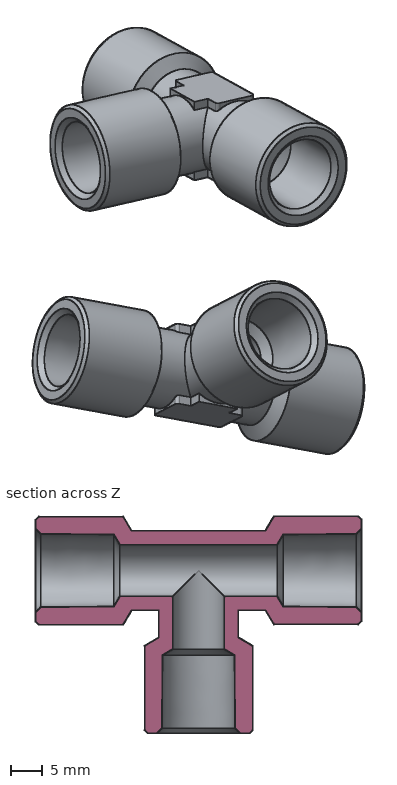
import cadquery as cq
import math

reach = 25.5
collar_radius = 17.0 / 2
neck_radius = 12.5 / 2
collar_length = 13.7
shoulder_length = 1.35
rim_chamfer = 0.5

passage_radius = 8.0 / 2
mouth_radius = 13.05 / 2
socket_mouth_radius = 11.4 / 2
socket_floor_radius = 11.2 / 2
socket_depth = 12.25
mouth_depth = mouth_radius - socket_mouth_radius
drill_tip_half_angle = 59.0
floor_cone_length = (socket_floor_radius - passage_radius) / math.tan(math.radians(drill_tip_half_angle))

pad_width = 12.2
pad_length = 7.05
pad_thickness = 13.15
pad_corner_radius = 0.5
tab_width = 7.0
tab_reach = 6.0

RUN_LEFT = 90
BRANCH = 0
RUN_RIGHT = -90
arm_angles = (RUN_LEFT, BRANCH, RUN_RIGHT)


def revolve_arm(profile, angle):
    """Turn a (radius, distance from centre) profile about its arm axis."""
    points = [(radius, -distance) for radius, distance in profile]
    solid = cq.Workplane("XY").polyline(points).close().revolve(360, (0, 0, 0), (0, 1, 0))
    return solid.rotate((0, 0, 0), (0, 0, 1), -angle)


collar_start = reach - collar_length
outer_profile = [
    (0, 0),
    (neck_radius, 0),
    (neck_radius, collar_start - shoulder_length),
    (collar_radius, collar_start),
    (collar_radius, reach - rim_chamfer),
    (collar_radius - rim_chamfer, reach),
    (0, reach),
]

socket_floor = reach - socket_depth
bore_profile = [
    (0, 0),
    (passage_radius, 0),
    (passage_radius, socket_floor - floor_cone_length),
    (socket_floor_radius, socket_floor),
    (socket_mouth_radius, reach - mouth_depth),
    (mouth_radius, reach),
    (0, reach),
]


def wrench_flats():
    """Rounded pad with a square tab toward the branch, reaching through both faces."""
    pad = cq.Workplane("XY").box(pad_width, pad_length, pad_thickness)
    pad = pad.edges("|Z").fillet(pad_corner_radius)
    tab = cq.Workplane("XY").box(tab_width, tab_reach, pad_thickness)
    return pad.union(tab.translate((0, -tab_reach / 2, 0)))


result = wrench_flats()
for arm_angle in arm_angles:
    result = result.union(revolve_arm(outer_profile, arm_angle))
for arm_angle in arm_angles:
    result = result.cut(revolve_arm(bore_profile, arm_angle))